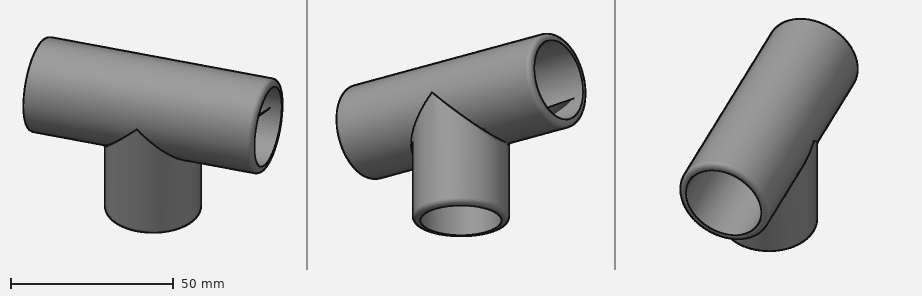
import cadquery as cq

run_length = 75.0
overall_height = 52.5
outer_diameter = 29.8
bore_diameter = 25.0
rim_rounding = 1.6
joint_fillet = 0.75

branch_length = overall_height - outer_diameter / 2


def run_cylinder(diameter):
    """Cylinder along the full run, centred on the origin."""
    return cq.Workplane("YZ").circle(diameter / 2).extrude(run_length / 2, both=True)


def branch_cylinder(diameter):
    """Cylinder from the run axis down to the branch end."""
    return cq.Workplane("XY").circle(diameter / 2).extrude(-branch_length)


def tee(diameter):
    """Run and branch of equal diameter joined into one solid."""
    return run_cylinder(diameter).union(branch_cylinder(diameter))


touching_box = cq.Workplane("XY").box(run_length, outer_diameter, 2 * overall_height)
body = tee(outer_diameter).intersect(touching_box)

body = body.edges("(not %LINE) and (not %CIRCLE)").fillet(joint_fillet)

body = body.faces("<X or >X or <Z").edges().fillet(rim_rounding)

result = body.cut(tee(bore_diameter))